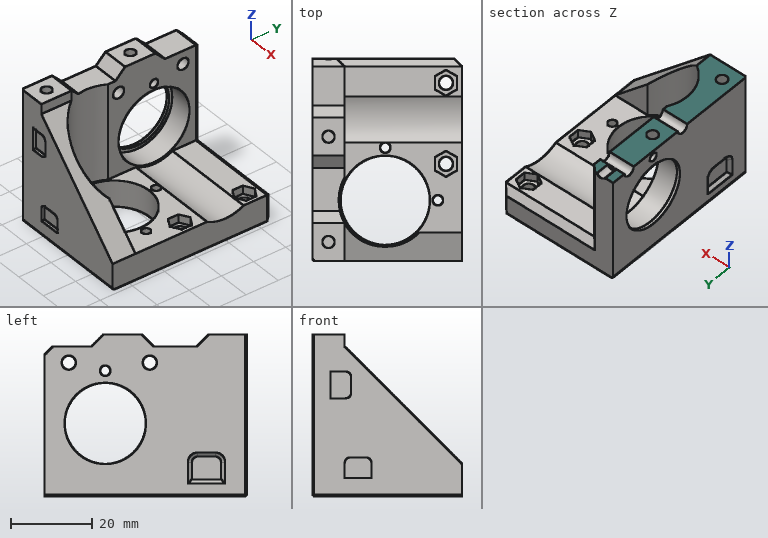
import cadquery as cq

length_x = 37.0
width_y = 50.0
plate = 8.0
wall_top = length_x
pad_top = 40.0
gusset = 7.1
corner_fill = 2.25
end_chamfer = 2.0
edge_chamfer = 0.45

pad_centers = (4.7, 30.7)
pad_half_flat = pad_centers[0]
pad_half_foot = pad_half_flat + pad_top - wall_top
screw_diameter = 3.0
pad_hole_depth = 10.0

bore_offset = 18.0
base_bore_y = 15.0
wall_bore_y = 35.0
bearing_diameter = 22.0
lip_diameter = 20.0
lip_thickness = 1.0
clearance_diameter = 23.0

pilot_diameter = 2.5
pilot_circle_radius = 13.0
bolt_diameter = 3.4
bolt_offset = 33.0
bolt_ys = (24.0, 44.0)
nut_sides = 6
nut_corner_diameter = 6.4
nut_depth = 2.5
end_hole_z = 33.75
end_hole_depth = 4.0

pocket_corner_radius = 1.4
side_pocket_depth = 1.0
side_pocket_near = 4.5
side_pocket_width = 5.1
side_pocket_length = 6.6
upper_pocket_z = 24.2
lower_pocket_x = 8.0
wall_pocket_y = 5.4
wall_pocket_z = 3.2
wall_pocket_width = 9.2
wall_pocket_height = 7.6
wall_pocket_corner_radius = 2.4
wall_pocket_depth = 1.0
wall_pocket_taper = 45.0


def box(x_size, y_size, z_size):
    """Block with one corner at the origin."""
    return cq.Workplane("XY").box(x_size, y_size, z_size, centered=False)


def z_cylinder(x, y, diameter, z_low, z_high):
    return cq.Workplane("XY", origin=(x, y, z_low)).circle(diameter / 2).extrude(z_high - z_low)


def x_cylinder(y, z, diameter, x_low, x_high):
    return cq.Workplane("YZ", origin=(x_low, y, z)).circle(diameter / 2).extrude(x_high - x_low)


def make_plates():
    """Wall and base as one L profile; all but its outer edges are chamfered at the +Y end."""
    profile = [(0, 0), (length_x, 0), (length_x, plate), (plate, plate), (plate, wall_top), (0, wall_top)]
    plates = cq.Workplane("XZ").polyline(profile).close().extrude(-width_y)
    return plates.faces(">Y").edges("not(<X or <Z)").chamfer(end_chamfer)


def make_pad(center_y):
    """Raised pad on top of the wall, with sides sloping at 45 degrees and trimmed at Y = 0."""
    outline = [
        (max(center_y - pad_half_foot, 0), wall_top),
        (center_y + pad_half_foot, wall_top),
        (center_y + pad_half_flat, pad_top),
        (max(center_y - pad_half_flat, 0), pad_top),
    ]
    return cq.Workplane("YZ").polyline(outline).close().extrude(plate)


def sloped_slab(thickness):
    """Slab from Y = 0 sloping from the top of the wall to the end of the base."""
    outline = [(0, 0), (length_x, 0), (length_x, plate), (plate, wall_top), (0, wall_top)]
    return cq.Workplane("XZ").polyline(outline).close().extrude(-thickness)


def make_gusset():
    """Sloped side wall, with a triangular fill in its corner against the wall."""
    fill_outline = [(plate, gusset), (plate + corner_fill, gusset), (plate, gusset + corner_fill)]
    fill = cq.Workplane("XY").polyline(fill_outline).close().extrude(pad_top)
    fill = fill.intersect(sloped_slab(gusset + corner_fill))
    return sloped_slab(gusset).union(fill)


def chamfer_outer_corner(body):
    """Break the three edges that meet at the origin."""
    upright = body.edges("<X and <Y")
    lying = body.faces("<Z").edges("<X or <Y")
    return upright.add(lying).chamfer(edge_chamfer)


def cut_bores(body):
    """Bore both plates for bearings; only the wall keeps a narrower lip at its outer face."""
    clearance_base = z_cylinder(bore_offset, base_bore_y, clearance_diameter, plate, pad_top)
    bearing_base = z_cylinder(bore_offset, base_bore_y, bearing_diameter, 0, plate)
    clearance_wall = x_cylinder(wall_bore_y, bore_offset, clearance_diameter, plate, length_x)
    bearing_wall = x_cylinder(wall_bore_y, bore_offset, bearing_diameter, lip_thickness, plate)
    lip_wall = x_cylinder(wall_bore_y, bore_offset, lip_diameter, 0, lip_thickness)
    for cutter in (clearance_base, bearing_base, clearance_wall, bearing_wall, lip_wall):
        body = body.cut(cutter)
    return body


def cut_screw_holes(body):
    """Bolt holes with nut traps in the base, pilot holes around the bores and blind screw holes."""
    for y in bolt_ys:
        body = body.cut(z_cylinder(bolt_offset, y, bolt_diameter, 0, plate))
        body = body.cut(x_cylinder(y, bolt_offset, bolt_diameter, 0, plate))
        nut = cq.Workplane("XY", origin=(bolt_offset, y, plate - nut_depth))
        nut = nut.transformed(rotate=(0, 0, 90)).polygon(nut_sides, nut_corner_diameter).extrude(nut_depth)
        body = body.cut(nut)
    far_pilot = bore_offset + pilot_circle_radius
    body = body.cut(z_cylinder(bore_offset, base_bore_y + pilot_circle_radius, pilot_diameter, 0, plate))
    body = body.cut(z_cylinder(far_pilot, base_bore_y, pilot_diameter, 0, plate))
    body = body.cut(x_cylinder(wall_bore_y, far_pilot, pilot_diameter, 0, plate))
    for y in pad_centers:
        body = body.cut(z_cylinder(plate / 2, y, screw_diameter, pad_top - pad_hole_depth, pad_top))
    end_hole = cq.Workplane("XZ", origin=(plate / 2, width_y, end_hole_z)).circle(screw_diameter / 2)
    return body.cut(end_hole.extrude(end_hole_depth))


def cut_side_pockets(body):
    """Two shallow pockets in the Y = 0 face, rounded on the side away from the outer corner."""
    upper = box(side_pocket_width, side_pocket_depth, side_pocket_length)
    upper = upper.edges("|Y and >X").fillet(pocket_corner_radius)
    lower = box(side_pocket_length, side_pocket_depth, side_pocket_width)
    lower = lower.edges("|Y and >Z").fillet(pocket_corner_radius)
    body = body.cut(upper.translate((side_pocket_near, 0, upper_pocket_z)))
    return body.cut(lower.translate((lower_pocket_x, 0, side_pocket_near)))


def cut_wall_pocket(body):
    """Pocket in the X = 0 face with sloping sides and rounded upper corners."""
    pocket = box(wall_pocket_depth, wall_pocket_width, wall_pocket_height)
    pocket = pocket.edges("|X and >Z").fillet(wall_pocket_corner_radius)
    rim = pocket.faces("<X").wires().val()
    pocket = cq.Workplane("YZ").add(rim).toPending().extrude(wall_pocket_depth, taper=wall_pocket_taper)
    return body.cut(pocket.translate((0, wall_pocket_y, wall_pocket_z)))


bracket = make_plates().union(make_gusset())
for pad_y in pad_centers:
    bracket = bracket.union(make_pad(pad_y))
bracket = chamfer_outer_corner(bracket.clean())
bracket = cut_bores(bracket)
bracket = cut_screw_holes(bracket)
bracket = cut_side_pockets(bracket)
result = cut_wall_pocket(bracket)